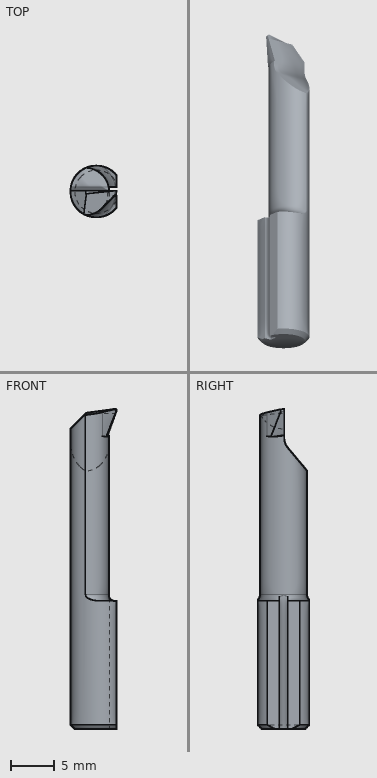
import cadquery as cq
import math


total_length = 37.0
shank_radius = 3.0
shank_length = 14.8
shank_flat_x = 2.35
shank_chamfer = 0.5

neck_reach_x = 1.47
neck_shank_meet_x = -1.25
neck_blend_radius = 0.75

groove_width = 1.0

rake_wall_y = 0.1
relief_angle = 40.0
relief_radius = 1.8
relief_end_z = 29.85

nose_radius = 0.2
top_slope = 7.0
flank_slope = 20.0
back_chamfer_angle = 45.0
back_chamfer_foot_z = 34.7
tip_floor_z = 34.2
tip_side_angle = 45.0

clearance_rate = 0.13

facet_floor_z = 36.5
facet_angle = 6.0

clear = 5.0

meet_y_squared = shank_radius**2 - neck_shank_meet_x**2
meet_to_reach = neck_reach_x - neck_shank_meet_x
neck_radius = (meet_to_reach**2 + meet_y_squared) / (2 * meet_to_reach)
neck_x = neck_reach_x - neck_radius


def tan(degrees):
    return math.tan(math.radians(degrees))


def sin(degrees):
    return math.sin(math.radians(degrees))


def cos(degrees):
    return math.cos(math.radians(degrees))


def tangent_point():
    """Plan point where the flat side of the tip leaves the neck circle."""
    return (
        neck_x + neck_radius * sin(tip_side_angle),
        -neck_radius * cos(tip_side_angle),
    )


def sharp_tip():
    """XZ corner of the top and flank lines whose rounding just reaches the outer size."""
    top_normal = (-sin(top_slope), cos(top_slope))
    flank_normal = (cos(flank_slope), -sin(flank_slope))
    dot = top_normal[0] * flank_normal[0] + top_normal[1] * flank_normal[1]
    reach = nose_radius / (1 + dot)
    return (
        shank_flat_x - nose_radius + reach * (top_normal[0] + flank_normal[0]),
        total_length - nose_radius + reach * (top_normal[1] + flank_normal[1]),
    )


def make_shank_bar(length):
    return cq.Workplane("XY").circle(shank_radius).extrude(length)


def make_shank():
    shank = make_shank_bar(shank_length).faces("<Z").chamfer(shank_chamfer)
    return trim_to_flat(shank)


def trim_to_flat(body):
    beyond_flat = cq.Workplane("XY").box(
        2 * clear, 2 * clear, 2 * total_length, centered=(False, True, True)
    ).translate((shank_flat_x, 0, 0))
    return body.cut(beyond_flat)


def make_neck():
    """Neck cylinder with its concave blend, kept inside the shank's cylinder."""
    blend_reach = neck_radius + neck_blend_radius
    blend_top_z = shank_length + neck_blend_radius
    arc_middle = (
        blend_reach - neck_blend_radius / math.sqrt(2),
        blend_top_z - neck_blend_radius / math.sqrt(2),
    )
    neck = (
        cq.Workplane("XZ")
        .moveTo(0, shank_length)
        .lineTo(blend_reach, shank_length)
        .threePointArc(arc_middle, (neck_radius, blend_top_z))
        .lineTo(neck_radius, total_length + clear)
        .lineTo(0, total_length + clear)
        .close()
        .revolve(360, (0, 0, 0), (0, 1, 0))
        .translate((neck_x, 0, 0))
    )
    return trim_to_flat(neck.intersect(make_shank_bar(total_length + clear)))


def oblique_prism(profile):
    """Sweep an XZ profile, true at the rake wall, across the whole bar with clearance.

    The sweep drifts towards -X and -Z as it runs to -Y.
    """
    start_y = shank_radius + clear
    shift = clearance_rate * (start_y - rake_wall_y)
    points = [cq.Vector(x + shift, start_y, z + shift) for x, z in profile]
    wire = cq.Wire.makePolygon(points, close=True)
    sweep = cq.Vector(-clearance_rate, -1, -clearance_rate) * (2 * start_y)
    return cq.Workplane(cq.Solid.extrudeLinear(wire, [], sweep))


def tip_floor_at(x):
    """Height of the tip's underside, which is square to the flank."""
    return tip_floor_z - (x - tangent_point()[0]) * tan(flank_slope)


def make_tip_stock():
    """Wedge in plan that carries the cutting point out beyond the neck."""
    side_x, side_y = tangent_point()
    outer_x = shank_flat_x + clear
    outer_y = side_y + (outer_x - side_x) * tan(tip_side_angle)
    top_z = total_length + clear
    wedge = (
        cq.Workplane("XY")
        .polyline([
            (neck_x, 0),
            (side_x, side_y),
            (outer_x, outer_y),
            (neck_x, outer_y),
        ])
        .close()
        .extrude(top_z)
    )
    inner_x = neck_x - clear
    above_floor = oblique_prism([
        (inner_x, tip_floor_at(inner_x)),
        (outer_x, tip_floor_at(outer_x)),
        (outer_x, top_z),
        (inner_x, top_z),
    ])
    return wedge.intersect(above_floor)


def make_tip_envelope():
    """Prism that grinds the top, nose, flank and back chamfer of the tip."""
    tip_x, tip_z = sharp_tip()
    outer_x = shank_flat_x + clear
    bottom_z = shank_length - clear

    flank_run = tan(flank_slope)
    flank_x_at_axis_floor = tip_x - flank_run * (tip_z - tip_floor_at(0))
    corner_x = flank_x_at_axis_floor * cos(flank_slope)**2
    corner = (corner_x, tip_floor_at(corner_x))

    chamfer_rise = tan(back_chamfer_angle)
    top_rise = tan(top_slope)
    top_z_at_back = tip_z - top_rise * (tip_x + shank_radius)
    heel_run = (top_z_at_back - back_chamfer_foot_z) / (chamfer_rise - top_rise)
    heel = (heel_run - shank_radius, back_chamfer_foot_z + chamfer_rise * heel_run)

    back_x = -shank_radius - clear
    prism = oblique_prism([
        (back_x, bottom_z),
        (back_x, back_chamfer_foot_z - chamfer_rise * clear),
        heel,
        (tip_x, tip_z),
        corner,
        (outer_x, tip_floor_at(outer_x)),
        (outer_x, bottom_z),
    ])
    nose_edge = cq.selectors.NearestToPointSelector((tip_x, rake_wall_y, tip_z))
    return prism.edges(nose_edge).fillet(nose_radius)


def make_relief():
    """Material ground away on +Y: a wall, a large radius and a slope running out."""
    rise = 1 / tan(relief_angle)
    arc_y = rake_wall_y + relief_radius * (1 - cos(relief_angle))
    arc_z = relief_end_z + (neck_radius - arc_y) * rise
    center_z = arc_z + relief_radius * sin(relief_angle)
    half = relief_angle / 2
    arc_middle = (
        rake_wall_y + relief_radius * (1 - cos(half)),
        center_z - relief_radius * sin(half),
    )
    outer_y = neck_radius + clear
    return (
        cq.Workplane("YZ")
        .moveTo(rake_wall_y, total_length + clear)
        .lineTo(rake_wall_y, center_z)
        .threePointArc(arc_middle, (arc_y, arc_z))
        .lineTo(outer_y, relief_end_z - clear * rise)
        .lineTo(outer_y, total_length + clear)
        .close()
        .extrude(2 * clear, both=True)
    )


def make_rake_facet():
    """Shallow step that turns the upper rake wall about the cutting point."""
    back_x = -shank_radius
    back_y = rake_wall_y - (shank_flat_x - back_x) * tan(facet_angle)
    return (
        cq.Workplane("XY")
        .workplane(offset=facet_floor_z)
        .polyline([
            (shank_flat_x, rake_wall_y),
            (back_x, back_y),
            (back_x, rake_wall_y),
        ])
        .close()
        .extrude(clear)
    )


def make_coolant_groove():
    return cq.Workplane("XY").box(
        clear, groove_width, shank_length + neck_blend_radius, centered=(False, True, False)
    ).translate((neck_reach_x, 0, 0))


blade = make_neck().union(make_tip_stock())
blade = blade.intersect(make_tip_envelope())
blade = blade.cut(make_relief()).cut(make_rake_facet())
result = make_shank().union(blade).cut(make_coolant_groove())